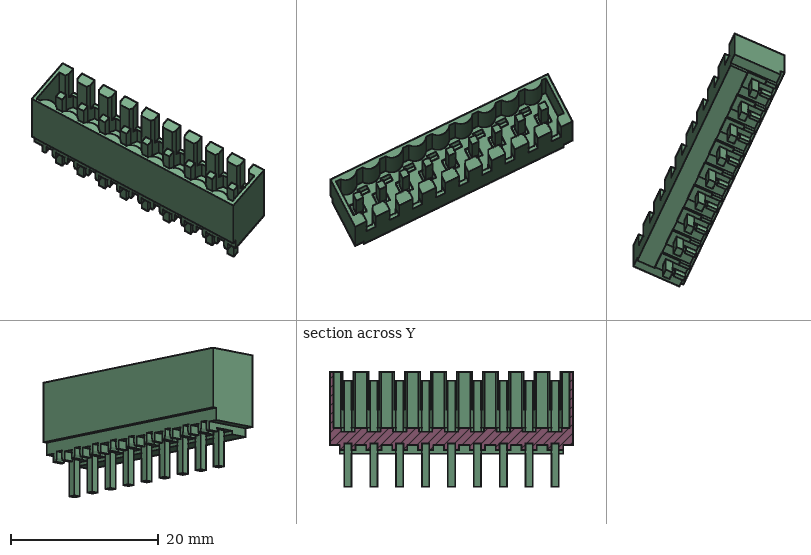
import cadquery as cq


PIN_COUNT = 9
PIN_ROW_LENGTH = 28.0
PIN_PITCH = PIN_ROW_LENGTH / (PIN_COUNT - 1)
PIN_Y = 3.45
PIN_WIDTH = 1.02
PIN_TOP = 14.38

LENGTH = 32.9
DEPTH = 7.45
TOP = 15.55
BODY_BOTTOM = 5.65
LEDGE_STEP = 0.6
LEDGE_Z = 7.35

BASE_INSET = 1.3
FOOT_BOTTOM = 4.47
GROOVE_TOP = 4.97
GROOVE_FRONT = 2.07
GROOVE_BACK = 4.87

FLOOR_Z = 8.0
END_WALL = 0.53
FRONT_WALL = 0.45
FRONT_WALL_LEFT = 0.4
FRONT_WALL_RIGHT = 0.6
BACK_WALL = 1.58
BULGE_RADIUS = 1.58
BULGE_REACH = 1.15

BAY_BACK_WALL = 0.53
BAY_MOUTH = 1.97
BAY_END = 0.8
BACK_SLOT_WIDTH = 1.4
BACK_SLOT_DEPTH = 5.1

PIN_RECESS_WIDTH = 1.78
PIN_RECESS_DEPTH = 0.5
RAMP_POCKET_WIDTH = 1.4
RAMP_POCKET_FRONT = 1.1
RAMP_POCKET_BACK = 2.0
RAMP_DROP = 0.4

NOTCH_WIDTH = 1.4
FOOT_SLOT_WIDTH = 0.95
FOOT_SLOT_MOUTH = 1.25
FOOT_SLOT_TOP = 5.85

FIRST_PIN_X = (LENGTH - PIN_ROW_LENGTH) / 2
PIN_XS = [FIRST_PIN_X + i * PIN_PITCH for i in range(PIN_COUNT)]
GAP_XS = [x + PIN_PITCH / 2 for x in PIN_XS[:-1]]


def box(x0, x1, y0, y1, z0, z1):
    """Box between two opposite corners."""
    return cq.Workplane("XY").box(x1 - x0, y1 - y0, z1 - z0, centered=False).translate((x0, y0, z0))


def column(x, y, width, z0, z1):
    """Square column centred on (x, y)."""
    half = width / 2
    return box(x - half, x + half, y - half, y + half, z0, z1)


def outer_block():
    """Stepped body with the narrower grooved base block below it."""
    body = box(0, LENGTH, 0, DEPTH, BODY_BOTTOM, TOP)
    ledge = box(0, LENGTH, 0, LEDGE_STEP, BODY_BOTTOM, LEDGE_Z)
    base = box(BASE_INSET, LENGTH - BASE_INSET, LEDGE_STEP, DEPTH, FOOT_BOTTOM, BODY_BOTTOM)
    groove = box(BASE_INSET, LENGTH - BASE_INSET, GROOVE_FRONT, GROOVE_BACK, FOOT_BOTTOM, GROOVE_TOP)
    return body.cut(ledge).union(base.cut(groove))


def cavity():
    """Open-topped space inside the walls, less the round bulges of the front wall."""
    left = END_WALL
    right = LENGTH - END_WALL
    back = DEPTH - BACK_WALL
    outline = [
        (left, FRONT_WALL_LEFT),
        (PIN_XS[0], FRONT_WALL_LEFT),
        (PIN_XS[0], FRONT_WALL),
        (PIN_XS[-1], FRONT_WALL),
        (PIN_XS[-1], FRONT_WALL_RIGHT),
        (right, FRONT_WALL_RIGHT),
        (right, back),
        (left, back),
    ]
    height = TOP - FLOOR_Z
    space = cq.Workplane("XY").workplane(offset=FLOOR_Z).polyline(outline).close().extrude(height)
    bulges = (
        cq.Workplane("XY")
        .workplane(offset=FLOOR_Z)
        .pushPoints([(x, BULGE_REACH - BULGE_RADIUS) for x in PIN_XS])
        .circle(BULGE_RADIUS)
        .extrude(height)
    )
    return space.cut(bulges)


def back_bay(x):
    """Tapered bay in the back wall, opened to the rear by a slot in its upper part."""
    mouth_y = DEPTH - BACK_WALL
    end_y = DEPTH - BAY_BACK_WALL
    bay = (
        cq.Workplane("XY")
        .workplane(offset=FLOOR_Z)
        .polyline([
            (x - BAY_MOUTH / 2, mouth_y),
            (x + BAY_MOUTH / 2, mouth_y),
            (x + BAY_END / 2, end_y),
            (x - BAY_END / 2, end_y),
        ])
        .close()
        .extrude(TOP - FLOOR_Z)
    )
    half = BACK_SLOT_WIDTH / 2
    slot = box(x - half, x + half, mouth_y, DEPTH, TOP - BACK_SLOT_DEPTH, TOP)
    return bay.union(slot)


def ramp_pocket(x):
    """Shallow floor pocket whose front side is a 45 degree ramp."""
    return (
        cq.Workplane("YZ")
        .workplane(offset=x - RAMP_POCKET_WIDTH / 2)
        .polyline([
            (RAMP_POCKET_FRONT, FLOOR_Z),
            (RAMP_POCKET_FRONT + RAMP_DROP, FLOOR_Z - RAMP_DROP),
            (RAMP_POCKET_BACK, FLOOR_Z - RAMP_DROP),
            (RAMP_POCKET_BACK, FLOOR_Z),
        ])
        .close()
        .extrude(RAMP_POCKET_WIDTH)
    )


def foot_notch(x):
    """Rectangular notch through the front foot, as far as the rear foot."""
    half = NOTCH_WIDTH / 2
    return box(x - half, x + half, LEDGE_STEP, GROOVE_BACK, FOOT_BOTTOM, BODY_BOTTOM)


def foot_slot(x):
    """Slot from the front face to the pin, flared at the foot."""
    half = FOOT_SLOT_WIDTH / 2
    half_mouth = FOOT_SLOT_MOUTH / 2
    return (
        cq.Workplane("XZ", origin=(0, LEDGE_STEP, 0))
        .polyline([
            (x - half_mouth, FOOT_BOTTOM),
            (x - half, GROOVE_TOP),
            (x - half, FOOT_SLOT_TOP),
            (x + half, FOOT_SLOT_TOP),
            (x + half, GROOVE_TOP),
            (x + half_mouth, FOOT_BOTTOM),
        ])
        .close()
        .extrude(LEDGE_STEP - PIN_Y)
    )


def make_pin(x):
    """Straight square pin."""
    return column(x, PIN_Y, PIN_WIDTH, 0, PIN_TOP)


def make_housing():
    """Shrouded housing with a through hole for every pin."""
    housing = outer_block().cut(cavity())
    for x in PIN_XS:
        housing = housing.cut(back_bay(x))
        housing = housing.cut(column(x, PIN_Y, PIN_RECESS_WIDTH, FLOOR_Z - PIN_RECESS_DEPTH, FLOOR_Z))
        housing = housing.cut(foot_slot(x))
        housing = housing.cut(make_pin(x))
    for x in GAP_XS:
        housing = housing.cut(ramp_pocket(x))
        housing = housing.cut(foot_notch(x))
    return housing


housing = make_housing()
pins = [make_pin(x) for x in PIN_XS]

result = cq.Compound.makeCompound([housing.solids().val(), *[pin.val() for pin in pins]])